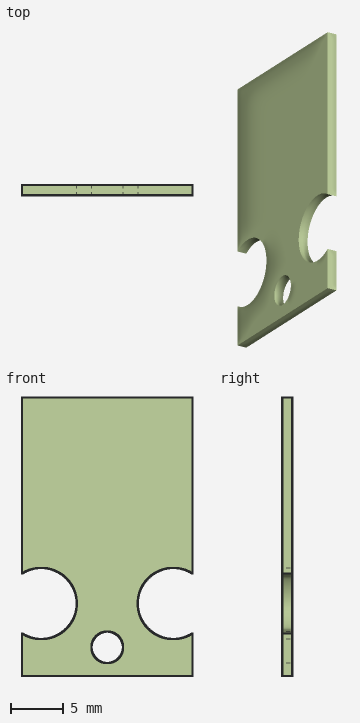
import cadquery as cq

plate_width = 16.35
plate_thickness = 1.0
plate_height = 26.7

notch_diameter = 6.8
notch_spacing = 12.65
notch_height = 6.95

hole_diameter = 3.0
hole_height = 2.75


def cross_cylinder(x, z, diameter):
    """Cylinder along Y that spans the plate's thickness."""
    return (
        cq.Workplane("XZ", origin=(x, plate_thickness / 2, z))
        .circle(diameter / 2)
        .extrude(plate_thickness)
    )


result = cq.Workplane("XY").box(
    plate_width, plate_thickness, plate_height, centered=(True, True, False)
)

for side in (-1, 1):
    result = result.cut(cross_cylinder(side * notch_spacing / 2, notch_height, notch_diameter))

result = result.cut(cross_cylinder(0, hole_height, hole_diameter))